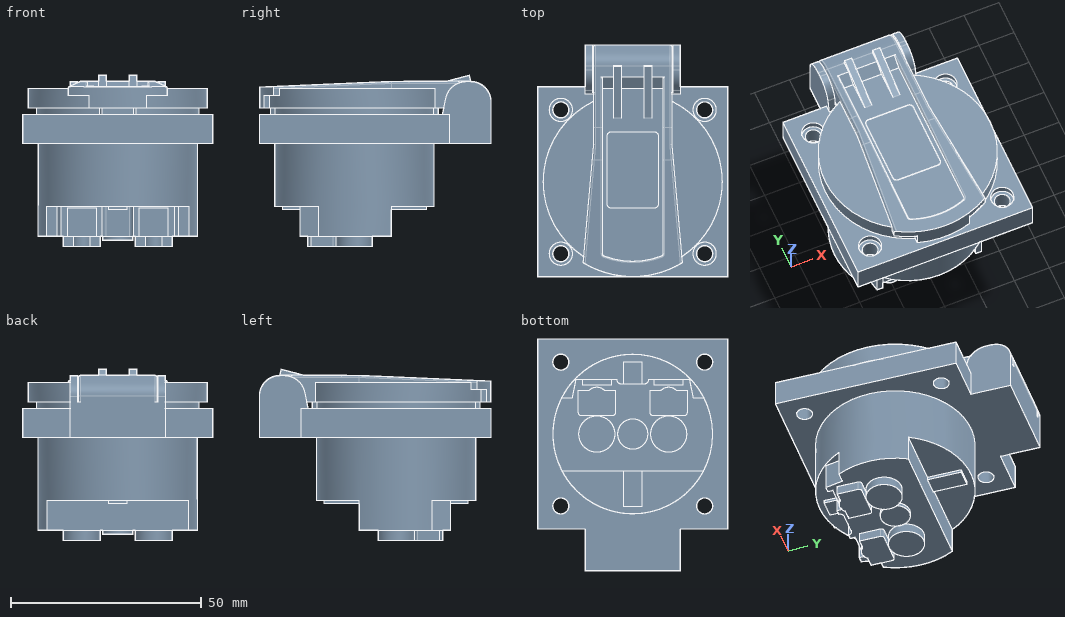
import cadquery as cq
import math


plate_side = 50.05
plate_height = 7.7
screw_offset = 18.9
screw_hole_radius = 2.1
screw_head_radius = 3.05
screw_head_depth = 2.0

collar_radius = 21.4
key_reach = 22.1
key_tip_half_width = 4.15
key_root_half_width = 4.8

disc_radius = 23.55
disc_bottom = 9.35
disc_top = 14.5

strap_half_width = 10.3
strap_top = 16.4
flare_start_y = 9.75
lip_radius = disc_radius + 1.4
lip_half_width = 13.05
lip_top = 14.9
lip_underside = 12.65
tab_half_width = 7.5
bend_start_y = 14.35
bend_end_y = 5.7
strap_edge_radius = 0.55

pocket_half_width = 8.0
pocket_rim_radius = 0.3
pocket_corner_radius = 0.75
pocket_front_radius = 20.95
pocket_back_y = 27.6
pocket_ramp_end_y = 24.55

edge_margin = 0.05

label_width = 13.55
label_length = 20.0
label_center_y = 3.1
label_corner_radius = 1.1
label_depth = 0.2

rib_offset = 4.0
rib_width = 2.0
rib_top = 18.0
rib_peak_y = 30.3
rib_back_y = 30.65
rib_front_y = 16.85

hinge_half_width = 12.5
hinge_top = 16.3
hinge_gap = 0.25
hinge_back_y = 36.0
hinge_back_radius = 5.5
hinge_front_radius = 5.45
hinge_front_center_y = 29.35
hinge_front_angle = math.radians(12)

body_radius = 21.0
step_depth = 16.55
body_depth = 24.4
block_back_y = 9.7
block_front_y = -14.35
shoulder_y = -9.45
block_front_half_width = 14.95
block_root_half_width = 15.9

terminal_x = 9.45
window_width = 7.6
window_recess = 1.4
window_top = 16.95
notch_half_width = 4.15
notch_depth = 1.15
notch_corner_radius = 1.1
strip_width = 4.9
strip_back_y = 19.05
strip_front_y = -18.9
strip_height = 0.85
center_boss_radius = 3.95
center_boss_depth = 25.45

clamp_depth = 27.1
terminal_radius = 4.75
clamp_half_width = 4.9
clamp_back_y = -4.8
clamp_back_radius = 0.8
clamp_front_y = -11.4
clamp_bulge_y = -12.3
clamp_bulge_radius = 2.9


def box(x_range, y_range, z_range):
    """Axis-aligned box between pairs of limits."""
    low = cq.Vector(x_range[0], y_range[0], z_range[0])
    size = [limits[1] - limits[0] for limits in (x_range, y_range, z_range)]
    return cq.Workplane(cq.Solid.makeBox(*size, pnt=low))


def cylinder(radius, z_low, z_high, x=0.0, y=0.0):
    """Upright cylinder between two heights."""
    return cq.Workplane(cq.Solid.makeCylinder(radius, z_high - z_low, cq.Vector(x, y, z_low)))


def side_profile(x_low):
    """Sketch plane for outlines in Y and Z that extrude toward +X."""
    return cq.Workplane("YZ", origin=(x_low, 0, 0))


def point_on_circle(center, radius, angle):
    return (center[0] + radius * math.cos(angle), center[1] + radius * math.sin(angle))


def make_plate():
    half = plate_side / 2
    plate = box((-half, half), (-half, half), (0, plate_height))
    corners = [(x, y) for x in (-screw_offset, screw_offset) for y in (-screw_offset, screw_offset)]
    return (
        plate.faces(">Z").workplane(origin=(0, 0, plate_height)).pushPoints(corners)
        .cboreHole(2 * screw_hole_radius, 2 * screw_head_radius, screw_head_depth)
    )


def make_collar():
    """Round collar with one tapered key at the front and one at the back."""
    collar = cylinder(collar_radius, plate_height, disc_bottom)
    root_y = math.sqrt(collar_radius**2 - key_root_half_width**2)
    keys = (
        cq.Workplane("XY", origin=(0, 0, plate_height))
        .polyline([
            (-key_root_half_width, -root_y),
            (-key_tip_half_width, -key_reach),
            (key_tip_half_width, -key_reach),
            (key_root_half_width, -root_y),
            (key_root_half_width, root_y),
            (key_tip_half_width, key_reach),
            (-key_tip_half_width, key_reach),
            (-key_root_half_width, root_y),
        ])
        .close()
        .extrude(disc_bottom - plate_height)
    )
    return collar.union(keys)


def make_hinge_block():
    """Block behind the plate with a rounded top and a sloping front foot."""
    back_center = (hinge_back_y - hinge_back_radius, hinge_top - hinge_back_radius)
    front_center = (hinge_front_center_y, hinge_top - hinge_front_radius)
    foot_angle = math.pi - hinge_front_angle
    foot_top = point_on_circle(front_center, hinge_front_radius, foot_angle)
    foot_y = foot_top[0] - (foot_top[1] - plate_height) * math.tan(hinge_front_angle)
    return (
        side_profile(-hinge_half_width)
        .moveTo(hinge_back_y, 0)
        .lineTo(hinge_back_y, back_center[1])
        .threePointArc(
            point_on_circle(back_center, hinge_back_radius, math.pi / 4),
            (back_center[0], hinge_top),
        )
        .lineTo(hinge_front_center_y, hinge_top)
        .threePointArc(
            point_on_circle(front_center, hinge_front_radius, (math.pi / 2 + foot_angle) / 2),
            foot_top,
        )
        .lineTo(foot_y, plate_height)
        .lineTo(foot_y, 0)
        .close()
        .extrude(2 * hinge_half_width)
    )


def lip_corner_y():
    """Y of the two corners where the flared sides meet the lip arc."""
    return -math.sqrt(lip_radius**2 - lip_half_width**2)


def make_strap_blank():
    """Strap without its pocket: the side outline trimmed to the flared plan outline."""
    lip_y = lip_corner_y()
    back_center = (hinge_back_y - hinge_back_radius, strap_top - hinge_back_radius)
    side = (
        side_profile(-lip_half_width)
        .moveTo(hinge_back_y, 0)
        .lineTo(hinge_back_y, back_center[1])
        .threePointArc(
            point_on_circle(back_center, hinge_back_radius, math.pi / 4),
            (back_center[0], strap_top),
        )
        .lineTo(bend_start_y, strap_top)
        .tangentArcPoint((bend_end_y, bend_end_z()), relative=False)
        .lineTo(-lip_radius, lip_top)
        .lineTo(-lip_radius, disc_bottom)
        .lineTo(hinge_front_center_y, disc_bottom)
        .lineTo(hinge_front_center_y, 0)
        .close()
        .extrude(2 * lip_half_width)
    )
    plan = (
        cq.Workplane("XY")
        .moveTo(-strap_half_width, hinge_back_y)
        .lineTo(-strap_half_width, flare_start_y)
        .lineTo(-lip_half_width, lip_y)
        .threePointArc((0, -lip_radius), (lip_half_width, lip_y))
        .lineTo(strap_half_width, flare_start_y)
        .lineTo(strap_half_width, hinge_back_y)
        .close()
        .extrude(strap_top)
    )
    strap = side.intersect(plan)
    for x_range in ((-lip_half_width, -tab_half_width), (tab_half_width, lip_half_width)):
        strap = strap.cut(box(x_range, (-lip_radius, 0), (disc_bottom, lip_underside)))
    return strap


def bend_end_z():
    """Height where the bend arc runs tangent into the straight fall to the lip."""
    half_bend = (bend_start_y - bend_end_y) / 2
    fall = strap_top - lip_top
    return strap_top - fall * half_bend / (bend_start_y - half_bend + lip_radius)


def round_strap_edges(strap):
    """Round the long upper edges, from the hinge to the lip."""
    lip_y = lip_corner_y()

    def is_upper_side_edge(edge):
        center = edge.Center()
        outside = abs(center.x) > strap_half_width - edge_margin
        above_disc = edge.BoundingBox().zmin > disc_top
        behind_lip = center.y > lip_y
        return outside and above_disc and behind_lip

    edges = [edge for edge in strap.edges().vals() if is_upper_side_edge(edge)]
    return strap.newObject(edges).fillet(strap_edge_radius)


def make_pocket_cutter():
    """Pocket with a flat floor, a ramp at the hinge end and a curved front end."""
    front_y = -math.sqrt(pocket_front_radius**2 - pocket_half_width**2)
    plan = (
        cq.Workplane("XY", origin=(0, 0, disc_top))
        .moveTo(-pocket_half_width, pocket_back_y)
        .lineTo(-pocket_half_width, front_y)
        .threePointArc((0, -pocket_front_radius), (pocket_half_width, front_y))
        .lineTo(pocket_half_width, pocket_back_y)
        .close()
        .extrude(strap_top - disc_top)
    )
    ramp = (
        side_profile(-pocket_half_width)
        .polyline([
            (pocket_ramp_end_y, disc_top),
            (pocket_back_y, disc_top),
            (pocket_back_y, strap_top),
        ])
        .close()
        .extrude(2 * pocket_half_width)
    )
    return plan.edges("|Z").edges("<Y").fillet(pocket_corner_radius).cut(ramp)


def round_pocket_rim(strap):
    """Round the upper pocket edges along both sides and around the front end."""

    def is_rim_edge(edge):
        bounds = edge.BoundingBox()
        inside = max(-bounds.xmin, bounds.xmax) < pocket_half_width + edge_margin
        above_floor = bounds.zmin > disc_top + edge_margin
        ahead_of_ramp = edge.Center().y < pocket_ramp_end_y
        behind_lip = bounds.ymin > -pocket_front_radius - edge_margin
        return inside and above_floor and ahead_of_ramp and behind_lip

    edges = [edge for edge in strap.edges().vals() if is_rim_edge(edge)]
    return strap.newObject(edges).fillet(pocket_rim_radius)


def make_label_cutter():
    return (
        cq.Workplane("XY", origin=(0, label_center_y, disc_top - label_depth))
        .rect(label_width, label_length)
        .extrude(label_depth)
        .edges("|Z")
        .fillet(label_corner_radius)
    )


def make_finger_rib(x):
    """Wedge that falls from the hinge down to the pocket floor."""
    return (
        side_profile(x - rib_width / 2)
        .polyline([
            (rib_front_y, disc_top),
            (rib_peak_y, rib_top),
            (rib_back_y, strap_top),
            (rib_back_y, disc_top),
        ])
        .close()
        .extrude(rib_width)
    )


def make_terminal_block():
    """Lower part of the body with stepped shoulders and recesses in its front."""
    outline = (
        cq.Workplane("XY", origin=(0, 0, -body_depth))
        .polyline([
            (-body_radius, block_back_y),
            (-body_radius, shoulder_y),
            (-block_root_half_width, shoulder_y),
            (-block_front_half_width, block_front_y),
            (block_front_half_width, block_front_y),
            (block_root_half_width, shoulder_y),
            (body_radius, shoulder_y),
            (body_radius, block_back_y),
        ])
        .close()
        .extrude(body_depth - step_depth)
    )
    block = outline.intersect(cylinder(body_radius, -body_depth, -step_depth))

    for x in (-terminal_x, terminal_x):
        block = block.cut(box(
            (x - window_width / 2, x + window_width / 2),
            (block_front_y, block_front_y + window_recess),
            (-body_depth, -window_top),
        ))

    notch = box(
        (-notch_half_width, notch_half_width),
        (block_front_y, block_front_y + notch_depth),
        (-body_depth, -step_depth),
    )
    return block.cut(notch.edges("|Z").edges(">Y").fillet(notch_corner_radius))


def make_body():
    body = cylinder(body_radius, -step_depth, 0)
    strip = box(
        (-strip_width / 2, strip_width / 2),
        (strip_front_y, strip_back_y),
        (-step_depth - strip_height, -step_depth),
    )
    center_boss = cylinder(center_boss_radius, -center_boss_depth, -body_depth)
    return body.union(make_terminal_block()).union(strip).union(center_boss)


def make_clamp(x):
    """Round terminal with a clamp plate in front of it; the plate has a bulged front."""
    terminal = cylinder(terminal_radius, -clamp_depth, -body_depth, x)
    plate = box(
        (x - clamp_half_width, x + clamp_half_width),
        (clamp_front_y, clamp_back_y),
        (-clamp_depth, -body_depth),
    )
    plate = plate.edges("|Z").edges(">Y").fillet(clamp_back_radius)
    bulge = cylinder(
        clamp_bulge_radius, -clamp_depth, -body_depth, x, clamp_bulge_y + clamp_bulge_radius
    )
    return terminal.union(plate).union(bulge)


def make_lid():
    disc = cylinder(disc_radius, disc_bottom, disc_top)
    strap = round_strap_edges(make_strap_blank())
    strap = round_pocket_rim(strap.cut(make_pocket_cutter()))
    lid = disc.union(strap).cut(make_label_cutter())
    for x in (-rib_offset, rib_offset):
        lid = lid.union(make_finger_rib(x))
    return lid


def make_hinge_ears():
    """Outer ends of the hinge block, either side of the strap."""
    inner_half_width = strap_half_width + hinge_gap
    middle = box((-inner_half_width, inner_half_width), (0, hinge_back_y), (disc_bottom, strap_top))
    return make_hinge_block().cut(middle)


result = make_plate().union(make_collar()).union(make_hinge_ears()).union(make_lid()).union(make_body())
for clamp_x in (-terminal_x, terminal_x):
    result = result.union(make_clamp(clamp_x))